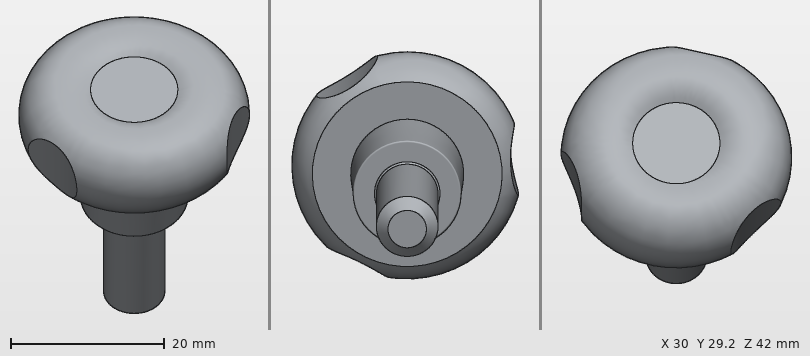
import cadquery as cq
import math

total_height = 42.0
head_height = 11.0
hub_height = 11.0
head_bottom = total_height - head_height
hub_bottom = head_bottom - hub_height

head_diameter = 30.0
ring_section_radius = 6.0
dish_depth = 1.0
ring_center_radius = head_diameter / 2 - ring_section_radius
ring_center_z = total_height - ring_section_radius

hub_top_radius = 7.35
hub_bottom_radius = 7.0
hub_edge_radius = 0.2

shank_radius = 8.0 / 2
tip_chamfer = 1.5
shank_neck_chamfer = 0.25

scallop_count = 3
scallop_first_angle = -90
scallop_radius = 15.05
scallop_floor_radius = 13.48
scallop_center_radius = scallop_floor_radius + scallop_radius


def ring_half_width(height_from_center):
    """Horizontal half-width of the ring section at a given height."""
    return math.sqrt(ring_section_radius**2 - height_from_center**2)


def make_head():
    dish_z = total_height - dish_depth
    dish_radius = ring_center_radius - ring_half_width(dish_z - ring_center_z)
    underside_radius = ring_center_radius + ring_half_width(head_bottom - ring_center_z)
    return (
        cq.Workplane("XZ")
        .moveTo(0, head_bottom)
        .lineTo(underside_radius, head_bottom)
        .threePointArc((ring_center_radius, total_height), (dish_radius, dish_z))
        .lineTo(0, dish_z)
        .close()
        .revolve(360, (0, 0, 0), (0, 1, 0))
    )


def make_hub():
    return (
        cq.Workplane("XY", origin=(0, 0, hub_bottom))
        .circle(hub_bottom_radius)
        .workplane(offset=hub_height)
        .circle(hub_top_radius)
        .loft()
        .faces("<Z")
        .edges()
        .fillet(hub_edge_radius)
    )


def make_shank():
    neck_radius = shank_radius + shank_neck_chamfer
    outline = [
        (0, 0),
        (shank_radius - tip_chamfer, 0),
        (shank_radius, tip_chamfer),
        (shank_radius, hub_bottom - shank_neck_chamfer),
        (neck_radius, hub_bottom),
        (0, hub_bottom),
    ]
    return cq.Workplane("XZ").polyline(outline).close().revolve(360, (0, 0, 0), (0, 1, 0))


def make_scallop_cutters():
    return (
        cq.Workplane("XY", origin=(0, 0, head_bottom))
        .polarArray(scallop_center_radius, scallop_first_angle, 360, scallop_count)
        .circle(scallop_radius)
        .extrude(head_height)
    )


head = make_head().cut(make_scallop_cutters())
result = head.union(make_hub()).union(make_shank())